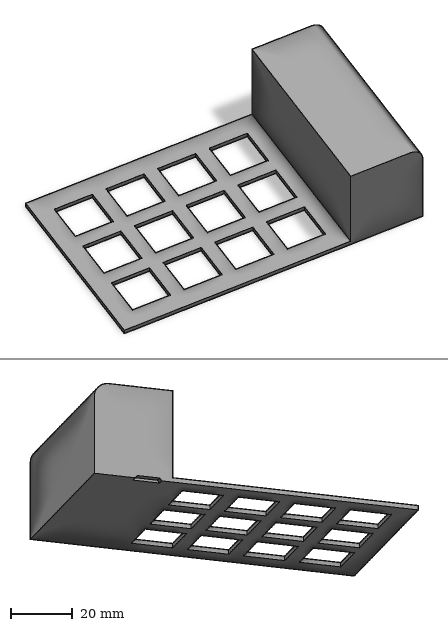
import cadquery as cq

width = 66.2
length = 110.6
height = 31.5

block_depth = 26.8
block_edge_radius = 5.0
plate_thickness = 1.5

window_columns = 3
window_rows = 4
window_size = 14.0
window_pitch = 19.1
front_margin = 6.9

notch_rear_offset = 13.9
notch_base_width = 9.1
notch_roof_width = 7.5
notch_height = 0.9
notch_depth = 2.2

front_y = -length / 2
rear_y = length / 2
block_front_y = rear_y - block_depth


def make_body():
    """Extrude the L-shaped side profile across the width and round its rear top edge."""
    profile = [
        (front_y, 0),
        (rear_y, 0),
        (rear_y, height),
        (block_front_y, height),
        (block_front_y, plate_thickness),
        (front_y, plate_thickness),
    ]
    body = cq.Workplane("YZ").polyline(profile).close().extrude(width / 2, both=True)
    return body.edges("|X and >Y and >Z").fillet(block_edge_radius)


def make_windows():
    """Square cutters filling every window of the grid."""
    grid_length = (window_rows - 1) * window_pitch + window_size
    grid_center_y = front_y + front_margin + grid_length / 2
    return (
        cq.Workplane("XY")
        .center(0, grid_center_y)
        .rarray(window_pitch, window_pitch, window_columns, window_rows)
        .rect(window_size, window_size)
        .extrude(plate_thickness)
    )


def make_notch():
    """Trapezoidal cutter running inward from the -X side."""
    center_y = rear_y - notch_rear_offset - notch_base_width / 2
    profile = [
        (center_y - notch_base_width / 2, 0),
        (center_y + notch_base_width / 2, 0),
        (center_y + notch_roof_width / 2, notch_height),
        (center_y - notch_roof_width / 2, notch_height),
    ]
    return (
        cq.Workplane("YZ", origin=(-width / 2, 0, 0))
        .polyline(profile)
        .close()
        .extrude(notch_depth)
    )


result = make_body().cut(make_windows()).cut(make_notch())